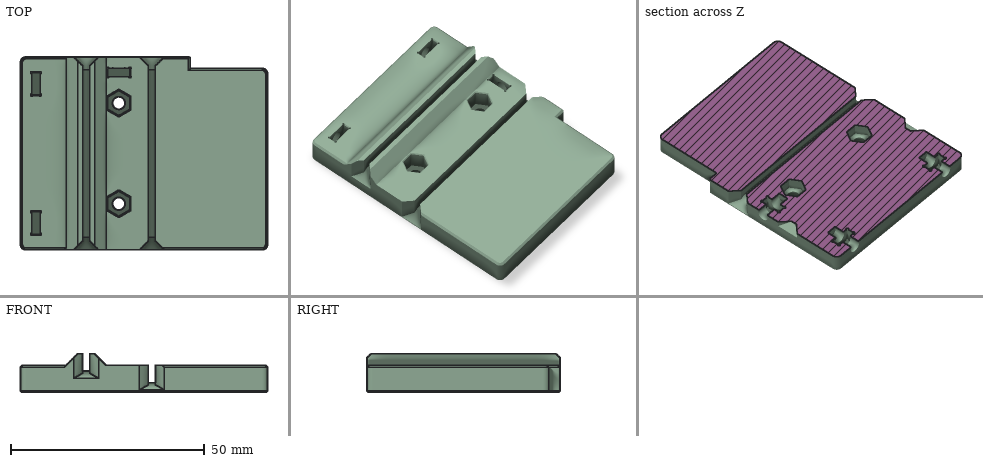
import cadquery as cq
import math

LENGTH = 64.0
WIDTH = 50.0
PLATE_HEIGHT = 7.0
CORNER_RADIUS = 1.5
NOTCH_CORNER_RADIUS = 0.6
TOP_CHAMFER = 0.5
BOTTOM_CHAMFER = 0.3
NOTCH_X = 44.0
NOTCH_DEPTH = 2.95

TOTAL_HEIGHT = 10.0
RIDGE_X = 17.0
RIDGE_BASE_HALF = 5.2
RIDGE_RISE = TOTAL_HEIGHT - PLATE_HEIGHT
RIDGE_TOP_HALF = RIDGE_BASE_HALF - RIDGE_RISE
SLOT_PITCH = 17.0
SLOT_WIDTH = 1.85
SLOT_DEPTH = 4.5
FLARE_LENGTH = 2.3
RAMP_LENGTH = 3.3
RAMP_DROP = 1.9

HOLE_DIAMETER = 3.2
NUT_X = 25.5
NUT_EDGE_DISTANCE = 12.0
NUT_ACROSS_FLATS = 5.6
NUT_CHAMFER = 0.25
NUT_DEPTH = 5.0

SIDE_HOLE_Z = 4.15
SIDE_HOLE_DEPTH = 8.0
SIDE_HOLE_EDGE_DISTANCE = 7.0
POCKET_INSET = 4.0
POCKET_LENGTH = 5.75
POCKET_WIDTH = 2.2
POCKET_FLOOR_Z = 1.0
POCKET_CHAMFER = 0.25
EAR_RADIUS = 0.29


def make_plate():
    """Notched plate with rounded corners and chamfered top and bottom rims."""
    plate = (
        cq.Workplane("XY")
        .polyline([
            (0, 0),
            (LENGTH, 0),
            (LENGTH, WIDTH - NOTCH_DEPTH),
            (NOTCH_X, WIDTH - NOTCH_DEPTH),
            (NOTCH_X, WIDTH),
            (0, WIDTH),
        ])
        .close()
        .extrude(PLATE_HEIGHT)
    )
    rounded_corners = [
        (0, 0, CORNER_RADIUS),
        (LENGTH, 0, CORNER_RADIUS),
        (LENGTH, WIDTH - NOTCH_DEPTH, CORNER_RADIUS),
        (NOTCH_X, WIDTH, NOTCH_CORNER_RADIUS),
        (0, WIDTH, CORNER_RADIUS),
    ]
    for x, y, radius in rounded_corners:
        corner = cq.selectors.NearestToPointSelector((x, y, PLATE_HEIGHT / 2))
        plate = plate.edges("|Z").edges(corner).fillet(radius)
    plate = plate.faces(">Z").chamfer(TOP_CHAMFER)
    return plate.faces("<Z").chamfer(BOTTOM_CHAMFER)


def make_ridge():
    """Ridge along Y whose left slope runs down through the rim chamfer, with the square-edged land beside it."""
    foot_z = PLATE_HEIGHT - TOP_CHAMFER
    land_end = RIDGE_X + SLOT_PITCH
    return (
        cq.Workplane("XZ")
        .polyline([
            (RIDGE_X - RIDGE_BASE_HALF - TOP_CHAMFER, foot_z),
            (RIDGE_X - RIDGE_TOP_HALF, TOTAL_HEIGHT),
            (RIDGE_X + RIDGE_TOP_HALF, TOTAL_HEIGHT),
            (RIDGE_X + RIDGE_BASE_HALF, PLATE_HEIGHT),
            (land_end, PLATE_HEIGHT),
            (land_end, foot_z),
        ])
        .close()
        .extrude(-WIDTH)
    )


def make_strip_slot(center_x, top_z):
    """Slot along Y that flares sideways and ramps down at both ends."""
    half = SLOT_WIDTH / 2
    mouth_half = half + FLARE_LENGTH
    floor_z = top_z - SLOT_DEPTH
    mouth_z = floor_z - RAMP_DROP
    plan = (
        cq.Workplane("XY", origin=(center_x, 0, mouth_z))
        .polyline([
            (-mouth_half, 0),
            (mouth_half, 0),
            (half, FLARE_LENGTH),
            (half, WIDTH - FLARE_LENGTH),
            (mouth_half, WIDTH),
            (-mouth_half, WIDTH),
            (-half, WIDTH - FLARE_LENGTH),
            (-half, FLARE_LENGTH),
        ])
        .close()
        .extrude(top_z - mouth_z)
    )
    side_profile = (
        cq.Workplane("YZ", origin=(center_x - mouth_half, 0, 0))
        .polyline([
            (0, mouth_z),
            (RAMP_LENGTH, floor_z),
            (WIDTH - RAMP_LENGTH, floor_z),
            (WIDTH, mouth_z),
            (WIDTH, top_z),
            (0, top_z),
        ])
        .close()
        .extrude(2 * mouth_half)
    )
    return plan.intersect(side_profile)


def make_hexagon(across_flats, bottom_z):
    """Hexagon wire with its corners pointing along Y."""
    corner_diameter = across_flats / math.cos(math.pi / 6)
    return (
        cq.Workplane("XY", origin=(0, 0, bottom_z))
        .transformed(rotate=(0, 0, 90))
        .polygon(6, corner_diameter)
    )


def make_nut_hole():
    """Through hole with a hexagonal nut pocket and a flared rim, centred on Z."""
    pocket = make_hexagon(NUT_ACROSS_FLATS, PLATE_HEIGHT - NUT_DEPTH).extrude(NUT_DEPTH)
    rim_corner = (NUT_ACROSS_FLATS + 2 * NUT_CHAMFER) / math.cos(math.pi / 6)
    rim = (
        make_hexagon(NUT_ACROSS_FLATS, PLATE_HEIGHT - NUT_CHAMFER)
        .workplane(offset=NUT_CHAMFER)
        .polygon(6, rim_corner)
        .loft(ruled=True)
    )
    bore = cq.Workplane("XY").circle(HOLE_DIAMETER / 2).extrude(PLATE_HEIGHT)
    return pocket.union(rim).union(bore)


def make_side_screw():
    """Hole along +X from the origin, crossed by an upright nut slot with relieved corners and sloped ends."""
    hole = (
        cq.Workplane("YZ", origin=(0, 0, SIDE_HOLE_Z))
        .circle(HOLE_DIAMETER / 2)
        .extrude(SIDE_HOLE_DEPTH)
    )
    depth = PLATE_HEIGHT - POCKET_FLOOR_Z
    floor = cq.Workplane("XY", origin=(POCKET_INSET, 0, POCKET_FLOOR_Z))
    slot = floor.rect(POCKET_WIDTH, POCKET_LENGTH).extrude(depth)
    ears = (
        floor.rect(POCKET_WIDTH, POCKET_LENGTH, forConstruction=True)
        .vertices()
        .circle(EAR_RADIUS)
        .extrude(depth)
    )
    rim = (
        cq.Workplane("XY", origin=(POCKET_INSET, 0, PLATE_HEIGHT - POCKET_CHAMFER))
        .rect(POCKET_WIDTH, POCKET_LENGTH)
        .workplane(offset=POCKET_CHAMFER)
        .rect(POCKET_WIDTH, POCKET_LENGTH + 2 * POCKET_CHAMFER)
        .loft(ruled=True)
    )
    return hole.union(slot).union(ears).union(rim)


result = make_plate().union(make_ridge())

result = result.cut(make_strip_slot(RIDGE_X, TOTAL_HEIGHT))
result = result.cut(make_strip_slot(RIDGE_X + SLOT_PITCH, PLATE_HEIGHT))

for y in (NUT_EDGE_DISTANCE, WIDTH - NUT_EDGE_DISTANCE):
    result = result.cut(make_nut_hole().translate((NUT_X, y, 0)))

for y in (SIDE_HOLE_EDGE_DISTANCE, WIDTH - SIDE_HOLE_EDGE_DISTANCE):
    result = result.cut(make_side_screw().translate((0, y, 0)))

back_screw = make_side_screw().rotate((0, 0, 0), (0, 0, 1), -90)
result = result.cut(back_screw.translate((NUT_X, WIDTH, 0)))